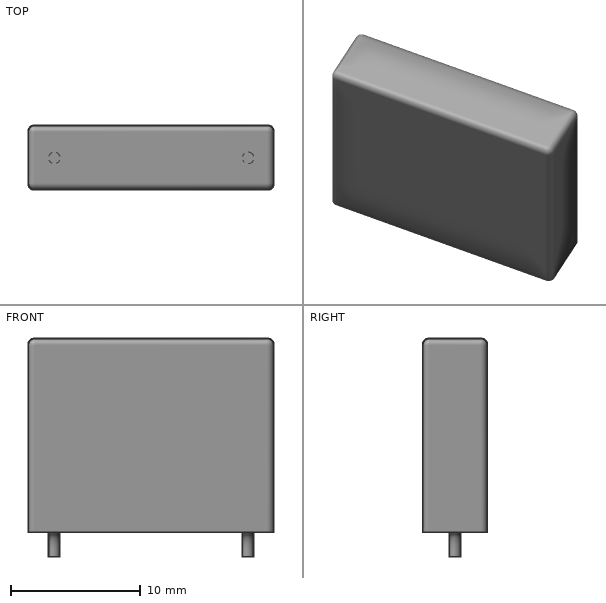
import cadquery as cq

body_length = 19.0
body_width = 5.0
body_height = 15.0
edge_radius = 0.5

pin_diameter = 0.9
pin_length = 1.9
pin_spacing = 15.0


def make_body():
    """Box standing on Z = 0, rounded everywhere except around its base."""
    box = cq.Workplane("XY").box(body_length, body_width, body_height, centered=(True, True, False))
    return box.edges("|Z or >Z").fillet(edge_radius)


def make_pins():
    """Pair of pins on the body's long centreline, pointing down from its base."""
    pin_centers = [(-pin_spacing / 2, 0), (pin_spacing / 2, 0)]
    return cq.Workplane("XY").pushPoints(pin_centers).circle(pin_diameter / 2).extrude(-pin_length)


result = make_body().union(make_pins())